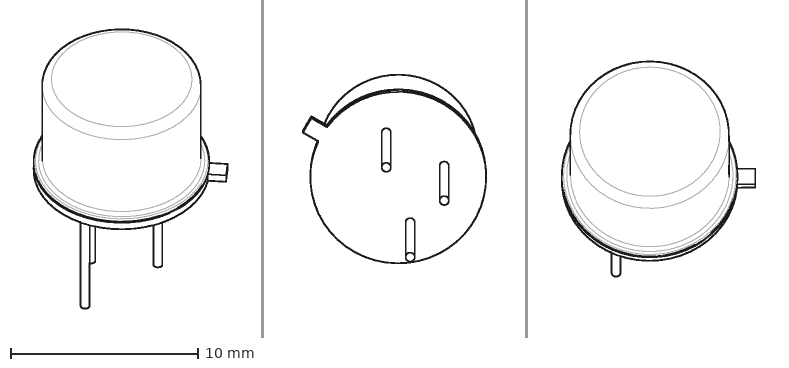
import cadquery as cq
import math

flange_diameter = 9.4
header_thickness = 0.52
header_edge_radius = 0.05

can_diameter = 8.5
can_top = 6.59
brim_thickness = 0.18
brim_edge_radius = 0.09
crown_radius = 0.49
root_radius = 0.2

lead_diameter = 0.49
lead_circle_diameter = 5.08
lead_angles = (90, 180, 270)
overall_height = 14.9
lead_length = overall_height - can_top

tab_angle = 45
tab_width = 0.91
tab_reach = 5.65
tab_thickness = header_thickness - header_edge_radius


def make_tab_bar():
    """Flat bar from the axis out to the tip of the locating tab."""
    return (
        cq.Workplane("XY")
        .rect(tab_reach, tab_width)
        .extrude(tab_thickness)
        .translate((tab_reach / 2, 0, 0))
        .rotate((0, 0, 0), (0, 0, 1), tab_angle)
    )


def make_header():
    """Disc with a softened top rim and a radial locating tab."""
    disc = (
        cq.Workplane("XY")
        .circle(flange_diameter / 2)
        .extrude(header_thickness)
        .faces(">Z")
        .edges()
        .fillet(header_edge_radius)
    )
    return disc.union(make_tab_bar())


def make_can():
    """Closed cap with a rounded crown and a thin brim at its foot."""
    brim_radius = flange_diameter / 2
    can_radius = can_diameter / 2
    brim_top = header_thickness + brim_thickness
    half_section = (
        cq.Workplane("XZ")
        .moveTo(0, header_thickness)
        .lineTo(brim_radius, header_thickness)
        .lineTo(brim_radius, brim_top - brim_edge_radius)
        .radiusArc((brim_radius - brim_edge_radius, brim_top), -brim_edge_radius)
        .lineTo(can_radius + root_radius, brim_top)
        .radiusArc((can_radius, brim_top + root_radius), root_radius)
        .lineTo(can_radius, can_top - crown_radius)
        .radiusArc((can_radius - crown_radius, can_top), -crown_radius)
        .lineTo(0, can_top)
        .close()
    )
    return half_section.revolve(360, (0, 0, 0), (0, 1, 0))


def make_lead(angle):
    """Round wire hanging from the underside of the header."""
    x = lead_circle_diameter / 2 * math.cos(math.radians(angle))
    y = lead_circle_diameter / 2 * math.sin(math.radians(angle))
    return cq.Workplane("XY", origin=(x, y, 0)).circle(lead_diameter / 2).extrude(-lead_length)


header = make_header()
can = make_can()
leads = [make_lead(angle) for angle in lead_angles]

result = cq.Compound.makeCompound(
    [header.val(), can.val(), *[lead.val() for lead in leads]]
)